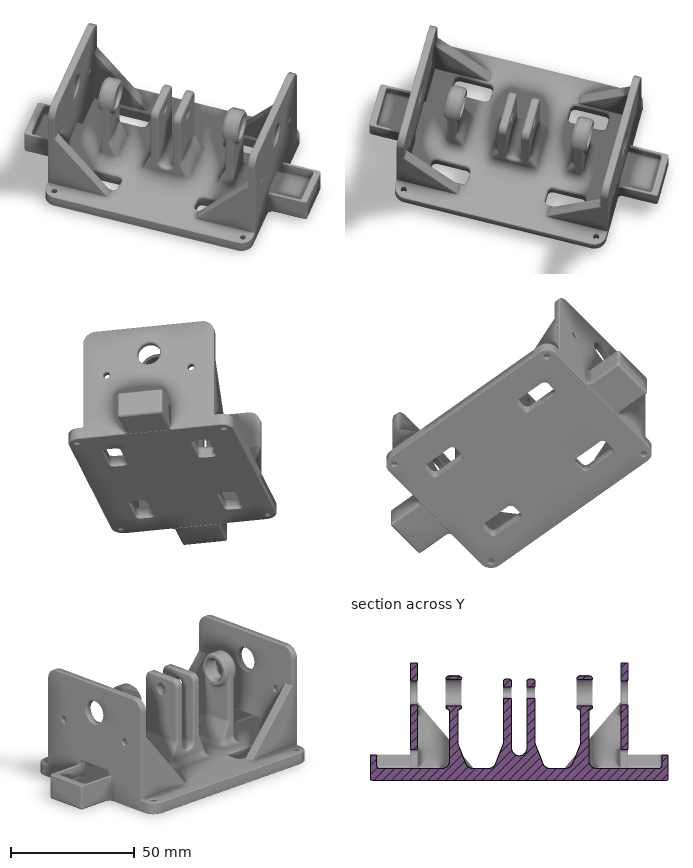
import cadquery as cq
PLATE_LENGTH = 88.0
PLATE_WIDTH = 68.0
PLATE_THICKNESS = 5.0
PLATE_CORNER_RADIUS = 5.0
MOUNT_HOLE_DIAMETER = 2.3
MOUNT_HOLE_X = 40.1
MOUNT_HOLE_Y = 30.4

WINDOW_LENGTH = 16.0
WINDOW_WIDTH = 7.5
WINDOW_CORNER_RADIUS = 2.0
WINDOW_RIM_CHAMFER = 0.5
WINDOW_X = 24.2
WINDOW_Y = 18.3

TOTAL_HEIGHT = 47.5
WALL_THICKNESS = 3.0
WALL_WIDTH = 54.0
WALL_CORNER_RADIUS = 5.0
AXIS_HEIGHT = 35.4
WALL_BORE_DIAMETER = 9.5
WALL_BORE_RIM_DIAMETER = 10.4
SIDE_HOLE_DIAMETER = 2.7
SIDE_HOLE_Y = 17.45
SIDE_HOLE_HEIGHT = 27.4
RIB_THICKNESS = 4.0
RIB_LENGTH = 22.6
RIB_TOP = 31.6

EDGE_CHAMFER = 0.25
FOOT_FILLET = 0.35

TOTAL_LENGTH = 120.3
BOX_WIDTH = 18.5
BOX_HEIGHT = 10.5
BOX_EDGE_FILLET = 1.0
BOX_JOINT_FILLET = 1.0
BOX_END_THICKNESS = 2.75
BOX_SIDE_THICKNESS = 1.0
POCKET_FILLET = 1.0
DOORWAY_TOP = 12.5
DOORWAY_CORNER_RADIUS = 1.5

ARM_THICKNESS = 3.5
ARM_FOOT_FILLET = 3.0
FLARE_TOP = 14.9
FLARE_RUN = 3.9
FLARE_FILLET = 3.0
CLEVIS_GAP = 6.0
CLEVIS_WIDTH = 18.3
CLEVIS_TOP = 41.0
CLEVIS_CORNER_RADIUS = 3.0
CLEVIS_SLOT_FLOOR = 10.1
CLEVIS_SLOT_FILLET = 2.99
CLEVIS_HOLE_DIAMETER = 4.5
CLEVIS_EDGE_FILLET = 1.0
LUG_X = 26.4
LUG_EDGE_FILLET = 0.9
RING_OUTER_DIAMETER = 14.0
RING_BORE_DIAMETER = 10.4
RING_LENGTH = 6.4
RING_CHAMFER_LENGTH = 1.1
RING_CHAMFER_DEPTH = 0.8

CLEVIS_FOOT_REGION = (15.0, 15.0)
LUG_FOOT_REGION = (8.0, 10.0)
SELECTION_TOLERANCE = 0.01
FLARE_SELECTION_MARGIN = 1.0

WALL_OUTER_X = PLATE_LENGTH / 2
WALL_INNER_X = WALL_OUTER_X - WALL_THICKNESS
WALL_MIDDLE_X = WALL_OUTER_X - WALL_THICKNESS / 2
POCKET_HALF_WIDTH = BOX_WIDTH / 2 - BOX_SIDE_THICKNESS


def mirrored_pair(solid):
    """A solid together with its mirror image across the YZ plane."""
    return solid.union(solid.mirror("YZ"))


def block(x_range, y_range, z_range):
    """A block given by its lower and upper limits along each axis."""
    size = [high - low for low, high in (x_range, y_range, z_range)]
    corner = (x_range[0], y_range[0], z_range[0])
    return cq.Workplane("XY").box(*size, centered=False).translate(corner)


def profile_along_y(points, width):
    """An outline in the XZ plane, extruded evenly to both sides of Y = 0."""
    return cq.Workplane("XZ").polyline(points).close().extrude(width / 2, both=True)


def hole_cutter(diameter, length, rim_chamfer=EDGE_CHAMFER):
    """A cutter along X, centred on the origin, that bevels the rims at both ends of a hole."""
    radius = diameter / 2
    end = length / 2
    half_profile = [
        (-end, 0),
        (-end, radius + rim_chamfer),
        (-end + rim_chamfer, radius),
        (end - rim_chamfer, radius),
        (end, radius + rim_chamfer),
        (end, 0),
    ]
    return cq.Workplane("XY").polyline(half_profile).close().revolve(360, (0, 0), (1, 0))


def make_window_cutter():
    """A cutter for one plate window, widening to a bevelled rim at the plate's upper face."""
    window = cq.Workplane("XY").rect(WINDOW_LENGTH, WINDOW_WIDTH).extrude(PLATE_THICKNESS)
    window = window.edges("|Z").fillet(WINDOW_CORNER_RADIUS)
    rim_growth = 2 * WINDOW_RIM_CHAMFER
    rim = (
        cq.Workplane("XY", origin=(0, 0, PLATE_THICKNESS))
        .sketch()
        .rect(WINDOW_LENGTH + rim_growth, WINDOW_WIDTH + rim_growth)
        .vertices()
        .fillet(WINDOW_CORNER_RADIUS + WINDOW_RIM_CHAMFER)
        .finalize()
        .extrude(-WINDOW_RIM_CHAMFER, taper=45)
    )
    return window.union(rim)


def make_plate():
    plate = cq.Workplane("XY").rect(PLATE_LENGTH, PLATE_WIDTH).extrude(PLATE_THICKNESS)
    plate = plate.edges("|Z").fillet(PLATE_CORNER_RADIUS)
    return plate.faces("<Z or >Z").chamfer(EDGE_CHAMFER)


def cut_plate_openings(body):
    """The four windows and the four mounting holes."""
    window = make_window_cutter()
    mount_hole = hole_cutter(MOUNT_HOLE_DIAMETER, PLATE_THICKNESS)
    mount_hole = mount_hole.rotate((0, 0, 0), (0, 1, 0), 90).translate((0, 0, PLATE_THICKNESS / 2))
    for x_side in (-1, 1):
        for y_side in (-1, 1):
            body = body.cut(window.translate((x_side * WINDOW_X, y_side * WINDOW_Y, 0)))
            body = body.cut(mount_hole.translate((x_side * MOUNT_HOLE_X, y_side * MOUNT_HOLE_Y, 0)))
    return body


def make_rib(y_centre):
    """A triangular rib at +X, running a little way into the wall."""
    slope = (RIB_TOP - PLATE_THICKNESS) / RIB_LENGTH
    overlap = WALL_THICKNESS / 2
    rib_outline = [
        (WALL_MIDDLE_X, PLATE_THICKNESS),
        (WALL_INNER_X - RIB_LENGTH, PLATE_THICKNESS),
        (WALL_MIDDLE_X, RIB_TOP + overlap * slope),
    ]
    rib = profile_along_y(rib_outline, RIB_THICKNESS)
    rib = rib.faces("<X or >Z").faces("not |X").edges("not |Y").chamfer(EDGE_CHAMFER)
    return rib.translate((0, y_centre, 0))


def foot_strip(length):
    """A concave fillet strip along +X, filling the corner between the +Y and +Z axes."""
    return (
        cq.Workplane("YZ")
        .lineTo(FOOT_FILLET, 0)
        .radiusArc((0, FOOT_FILLET), FOOT_FILLET)
        .close()
        .extrude(length)
    )


def make_foot_strips():
    """Fillet strips at the foot of the wall at +X and of its ribs."""
    start_x = WALL_INNER_X - RIB_LENGTH + FOOT_FILLET
    outer_y = WALL_WIDTH / 2
    inner_y = outer_y - RIB_THICKNESS
    rib_outside = foot_strip(WALL_OUTER_X - EDGE_CHAMFER - start_x).translate((start_x, outer_y, 0))
    rib_inside = foot_strip(WALL_INNER_X - start_x).mirror("XZ").translate((start_x, inner_y, 0))
    wall_inside = foot_strip(2 * inner_y).rotate((0, 0, 0), (0, 0, 1), 90)
    wall_inside = wall_inside.translate((WALL_INNER_X, -inner_y, 0))
    rib_strips = rib_outside.union(rib_inside)
    strips = wall_inside.union(rib_strips).union(rib_strips.mirror("XZ"))
    return strips.translate((0, 0, PLATE_THICKNESS))


def make_wall():
    """The end wall at +X with its holes and two ribs."""
    wall = block(
        (WALL_INNER_X, WALL_OUTER_X),
        (-WALL_WIDTH / 2, WALL_WIDTH / 2),
        (EDGE_CHAMFER, TOTAL_HEIGHT),
    )
    wall = wall.edges("|X and >Z").fillet(WALL_CORNER_RADIUS)
    wall = wall.faces("<X or >X").edges("not <Z").chamfer(EDGE_CHAMFER)
    rim_chamfer = (WALL_BORE_RIM_DIAMETER - WALL_BORE_DIAMETER) / 2
    bore = hole_cutter(WALL_BORE_DIAMETER, WALL_THICKNESS, rim_chamfer)
    wall = wall.cut(bore.translate((WALL_MIDDLE_X, 0, AXIS_HEIGHT)))
    side_hole = hole_cutter(SIDE_HOLE_DIAMETER, WALL_THICKNESS)
    for y_side in (-1, 1):
        wall = wall.cut(side_hole.translate((WALL_MIDDLE_X, y_side * SIDE_HOLE_Y, SIDE_HOLE_HEIGHT)))
        wall = wall.union(make_rib(y_side * (WALL_WIDTH - RIB_THICKNESS) / 2))
    return wall


def make_doorway_cutter():
    """The opening through the wall at +X, bevelled outside, level with the plate's upper face."""
    doorway = block(
        (WALL_INNER_X - FOOT_FILLET, WALL_OUTER_X),
        (-POCKET_HALF_WIDTH, POCKET_HALF_WIDTH),
        (PLATE_THICKNESS, DOORWAY_TOP),
    )
    doorway = doorway.edges("|X and >Z").fillet(DOORWAY_CORNER_RADIUS)
    rim_width = 2 * (POCKET_HALF_WIDTH + EDGE_CHAMFER)
    rim_height = DOORWAY_TOP - PLATE_THICKNESS + 2 * EDGE_CHAMFER
    rim = (
        cq.Workplane("YZ", origin=(WALL_OUTER_X, 0, 0))
        .sketch()
        .push([(0, (PLATE_THICKNESS + DOORWAY_TOP) / 2)])
        .rect(rim_width, rim_height)
        .reset()
        .vertices(">Y")
        .fillet(DOORWAY_CORNER_RADIUS + EDGE_CHAMFER)
        .finalize()
        .extrude(-EDGE_CHAMFER, taper=45)
    )
    above_plate = block(
        (WALL_INNER_X, WALL_OUTER_X),
        (-BOX_WIDTH, BOX_WIDTH),
        (PLATE_THICKNESS, TOTAL_HEIGHT),
    )
    return doorway.union(rim.intersect(above_plate))


def make_end_box():
    """The open-topped box at +X; concave fillets on its sides blend it into the end wall."""
    half_width = BOX_WIDTH / 2
    box = block((WALL_OUTER_X, TOTAL_LENGTH / 2), (-half_width, half_width), (0, BOX_HEIGHT))
    box = box.edges("|Z and >X").fillet(BOX_EDGE_FILLET)
    box = box.faces("<Z").edges("not <X").fillet(BOX_EDGE_FILLET)
    blend = (
        cq.Workplane("XY")
        .moveTo(WALL_OUTER_X, POCKET_HALF_WIDTH)
        .lineTo(WALL_OUTER_X, half_width + BOX_JOINT_FILLET)
        .radiusArc((WALL_OUTER_X + BOX_JOINT_FILLET, half_width), -BOX_JOINT_FILLET)
        .lineTo(WALL_OUTER_X + BOX_JOINT_FILLET, POCKET_HALF_WIDTH)
        .close()
        .extrude(BOX_HEIGHT)
    )
    box = box.union(blend).union(blend.mirror("XZ"))
    pocket = block(
        (WALL_OUTER_X, TOTAL_LENGTH / 2 - BOX_END_THICKNESS),
        (-POCKET_HALF_WIDTH, POCKET_HALF_WIDTH),
        (PLATE_THICKNESS, BOX_HEIGHT),
    )
    pocket = pocket.edges("(|Z and >X) or (<Z and (not <X))").fillet(POCKET_FILLET)
    box = box.cut(pocket)
    return box.faces(">Z").edges("not <X").chamfer(EDGE_CHAMFER)


def fillet_flare_top(body, low_x, high_x):
    """Round the bends between the low and high X limits where a flared foot turns upright."""
    low = (low_x, -CLEVIS_WIDTH, FLARE_TOP - FLARE_SELECTION_MARGIN)
    high = (high_x, CLEVIS_WIDTH, FLARE_TOP + FLARE_SELECTION_MARGIN)
    return body.edges("|Y").edges(cq.selectors.BoxSelector(low, high)).fillet(FLARE_FILLET)


def make_clevis():
    """The central clevis: two arms on a foot that flares to both sides."""
    half = CLEVIS_GAP / 2 + ARM_THICKNESS
    outline = [
        (-half - FLARE_RUN, PLATE_THICKNESS),
        (half + FLARE_RUN, PLATE_THICKNESS),
        (half, FLARE_TOP),
        (half, CLEVIS_TOP),
        (-half, CLEVIS_TOP),
        (-half, FLARE_TOP),
    ]
    body = profile_along_y(outline, CLEVIS_WIDTH)
    body = fillet_flare_top(body, -2 * half, 2 * half)
    body = body.edges("|X and >Z").fillet(CLEVIS_CORNER_RADIUS)
    slot = block(
        (-CLEVIS_GAP / 2, CLEVIS_GAP / 2),
        (-CLEVIS_WIDTH, CLEVIS_WIDTH),
        (CLEVIS_SLOT_FLOOR, CLEVIS_TOP),
    )
    slot = slot.edges("|Y and <Z").fillet(CLEVIS_SLOT_FILLET)
    body = body.cut(slot)
    body = body.faces("<Y or >Y").edges("not <Z").fillet(CLEVIS_EDGE_FILLET)
    hole = hole_cutter(CLEVIS_HOLE_DIAMETER, ARM_THICKNESS)
    for x_side in (-1, 1):
        body = body.cut(hole.translate((x_side * (CLEVIS_GAP + ARM_THICKNESS) / 2, 0, AXIS_HEIGHT)))
    return body


def ring_cylinder(diameter):
    """A cylinder along X with the length and place of the bearing ring at +X."""
    start = (LUG_X - RING_LENGTH / 2, 0, AXIS_HEIGHT)
    return cq.Workplane("YZ", origin=start).circle(diameter / 2).extrude(RING_LENGTH)


def make_lug():
    """The bearing lug at +X; its foot flares towards the clevis."""
    half = ARM_THICKNESS / 2
    outline = [
        (LUG_X + half, PLATE_THICKNESS),
        (LUG_X + half, AXIS_HEIGHT),
        (LUG_X - half, AXIS_HEIGHT),
        (LUG_X - half, FLARE_TOP),
        (LUG_X - half - FLARE_RUN, PLATE_THICKNESS),
    ]
    stem = profile_along_y(outline, RING_OUTER_DIAMETER)
    stem = fillet_flare_top(stem, 0, LUG_X)
    stem = stem.faces("<Y or >Y").edges("not (<Z or >Z)").fillet(LUG_EDGE_FILLET)
    ring = ring_cylinder(RING_OUTER_DIAMETER)
    ring = ring.faces("<X").chamfer(RING_CHAMFER_LENGTH, RING_CHAMFER_DEPTH)
    ring = ring.faces(">X").chamfer(RING_CHAMFER_LENGTH, RING_CHAMFER_DEPTH)
    return stem.union(ring).cut(ring_cylinder(RING_BORE_DIAMETER))


def fillet_arm_foot(body, region, x=0):
    """Fillet the edges in the plate's upper face inside a region centred on (x, 0)."""
    half_x, half_y = region
    low = (x - half_x, -half_y, PLATE_THICKNESS - SELECTION_TOLERANCE)
    high = (x + half_x, half_y, PLATE_THICKNESS + SELECTION_TOLERANCE)
    foot = body.edges(cq.selectors.BoxSelector(low, high, boundingbox=True))
    return foot.fillet(ARM_FOOT_FILLET)


result = make_plate().union(make_clevis()).union(mirrored_pair(make_lug()))
result = fillet_arm_foot(result, CLEVIS_FOOT_REGION)
for lug_x in (-LUG_X, LUG_X):
    result = fillet_arm_foot(result, LUG_FOOT_REGION, lug_x)
result = result.union(mirrored_pair(make_wall().union(make_foot_strips())))
result = result.cut(mirrored_pair(make_doorway_cutter()))
result = result.union(mirrored_pair(make_end_box()))
result = cut_plate_openings(result)